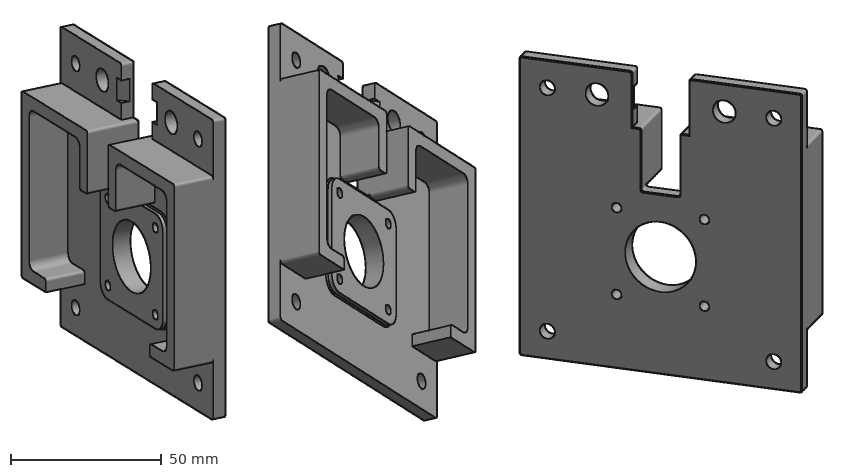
import cadquery as cq

plate_width = 100.0
plate_height = 107.0
plate_thickness = 5.0
edge_radius = 1.0
back_chamfer = 0.4

tab_height = 20.0
tab_gap = 20.0
slot_width = 13.6
slot_depth = 42.5
slot_corner_radius = 0.8

overall_depth = 20.0
wall_thickness = 5.0
rail_thickness = 4.7
wall_height = 66.6
foot_length = 16.0
inner_radius = 3.0

pad_base_size = 42.0
pad_height = 2.0
pad_base_radius = 5.5
pad_flare = 0.5
bore_diameter = 25.0
bore_depth_from_top = 65.0
motor_hole_pitch = 31.0
motor_hole_diameter = 3.4

mount_hole_diameter = 5.3
mount_hole_inset = 10.0
tab_hole_diameter = 8.0
tab_hole_offset = 22.5
notch_size = 3.2
notch_height = 8.0

half_width = plate_width / 2
half_gap = tab_gap / 2
half_slot = slot_width / 2
slot_bottom = plate_height - slot_depth
wall_top = plate_height - tab_height
wall_bottom = wall_top - wall_height
bore_z = plate_height - bore_depth_from_top
tab_hole_z = plate_height - mount_hole_inset


def front_plane(distance):
    """XZ workplane this far in front of the back face; extrusions go toward -Y."""
    return cq.Workplane("XZ", origin=(0, -distance, 0))


def wall_block(x_min, x_max, z_min, z_max):
    """Box from the plate's front face to the front of the part."""
    return (
        front_plane(plate_thickness)
        .center((x_min + x_max) / 2, (z_min + z_max) / 2)
        .rect(x_max - x_min, z_max - z_min)
        .extrude(overall_depth - plate_thickness)
    )


def round_edges(body, corners, radius):
    """Round the Y-parallel edges of a body at the given (x, z) corners."""
    reach = radius / 2
    for x, z in corners:
        around_corner = cq.selectors.BoxSelector(
            (x - reach, -overall_depth, z - reach),
            (x + reach, 0, z + reach),
        )
        body = body.edges("|Y").edges(around_corner).fillet(radius)
    return body


def both_sides(points):
    """The given (x, z) points together with their mirror images across x = 0."""
    return points + [(-x, z) for x, z in reversed(points)]


def make_plate():
    """Plate with the stepped slot, rounded corners and a chamfered back rim."""
    bottom_corner = (half_width, 0)
    top_corner = (half_width, plate_height)
    tab_corner = (half_gap, plate_height)
    tab_root = (half_gap, wall_top)
    step_corner = (half_slot, wall_top)
    slot_corner = (half_slot, slot_bottom)

    right_half = [bottom_corner, top_corner, tab_corner, tab_root, step_corner, slot_corner]
    plate = front_plane(0).polyline(both_sides(right_half)).close().extrude(plate_thickness)
    outer_corners = both_sides([bottom_corner, top_corner, tab_corner, step_corner])
    plate = round_edges(plate, outer_corners, edge_radius)
    plate = round_edges(plate, both_sides([slot_corner]), slot_corner_radius)
    return plate.faces(">Y").chamfer(back_chamfer)


def make_left_wall():
    """C-shaped wall: a rectangular ring cut open on the side facing the motor pad."""
    outer_x = -half_width
    inner_x = -half_slot
    pocket_inner_x = inner_x - wall_thickness
    foot_end = outer_x + foot_length
    foot_top = wall_bottom + rail_thickness

    pocket = wall_block(
        outer_x + wall_thickness, pocket_inner_x, foot_top, wall_top - rail_thickness
    )
    opening = wall_block(foot_end, inner_x, wall_bottom, slot_bottom)
    wall = wall_block(outer_x, inner_x, wall_bottom, wall_top)
    wall = wall.cut(pocket.edges("|Y").fillet(inner_radius)).cut(opening)
    rounded_corners = [
        (outer_x, wall_bottom),
        (outer_x, wall_top),
        (inner_x, wall_top),
        (inner_x, slot_bottom),
        (pocket_inner_x, slot_bottom),
        (foot_end, foot_top),
    ]
    return round_edges(wall, rounded_corners, edge_radius)


def rounded_square(size, radius):
    """Square sketch with rounded corners."""
    return cq.Sketch().rect(size, size).vertices().fillet(radius)


def make_pad():
    """Rounded square pad around the bore, flared where it meets the plate."""
    top_outline = rounded_square(pad_base_size - 2 * pad_flare, pad_base_radius - pad_flare)
    base_outline = rounded_square(pad_base_size, pad_base_radius)
    pad_plane = front_plane(plate_thickness).center(0, bore_z)
    pad = pad_plane.placeSketch(top_outline).extrude(pad_height)
    flare = pad_plane.placeSketch(base_outline).extrude(pad_flare, taper=45)
    return pad.union(flare)


def make_holes(points, diameter):
    """Cylinders along Y that run through the whole part at the given (x, z) points."""
    return front_plane(0).pushPoints(points).circle(diameter / 2).extrude(overall_depth)


def make_left_notch():
    """Wedge that cuts the tab's front inner edge at 45 degrees."""
    profile = [
        (-half_gap, -plate_thickness),
        (-half_gap - notch_size, -plate_thickness),
        (-half_gap, -plate_thickness + notch_size),
    ]
    notch_base = cq.Workplane("XY", origin=(0, 0, tab_hole_z - notch_height / 2))
    return notch_base.polyline(profile).close().extrude(notch_height)


mount_x = half_width - mount_hole_inset
motor_offset = motor_hole_pitch / 2
mount_holes = both_sides([(mount_x, mount_hole_inset), (mount_x, tab_hole_z)])
tab_holes = both_sides([(tab_hole_offset, tab_hole_z)])
motor_holes = both_sides(
    [(motor_offset, bore_z - motor_offset), (motor_offset, bore_z + motor_offset)]
)

left_wall = make_left_wall()
left_notch = make_left_notch()

result = make_plate().union(make_pad())
result = result.union(left_wall).union(left_wall.mirror("YZ"))
result = result.cut(left_notch).cut(left_notch.mirror("YZ"))
result = result.cut(make_holes([(0, bore_z)], bore_diameter))
result = result.cut(make_holes(motor_holes, motor_hole_diameter))
result = result.cut(make_holes(mount_holes, mount_hole_diameter))
result = result.cut(make_holes(tab_holes, tab_hole_diameter))